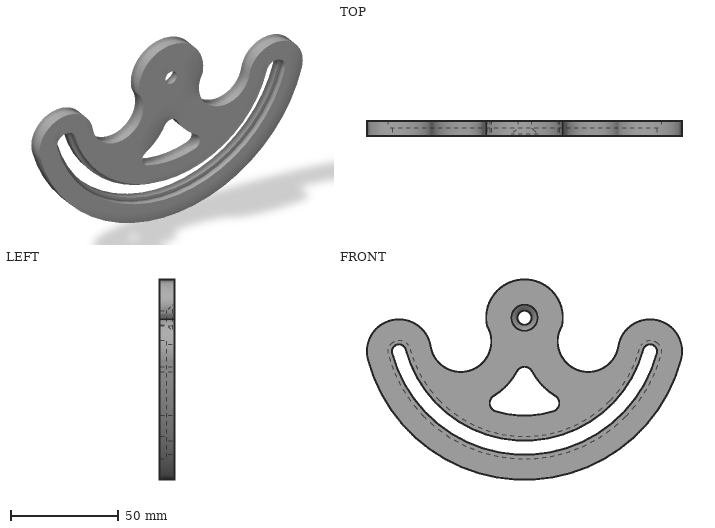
import cadquery as cq
import math

thickness = 7.0
hub_radius = 18.0
pivot_diameter = 6.5
countersink_diameter = 12.2
countersink_angle = 90
countersink_lip = 1.0

slot_width = 6.5
groove_width = 10.5
groove_depth = 3.1
slot_path_radius = 60.5
slot_end_angle = 15
lobe_radius = 15.0

bay_x = 29.7
bay_z = -11.0

window_side_radius = 29.7
window_bottom_radius = 45.5
window_corner_radius = 4.0

hub = (0, 0)
bay = (bay_x, bay_z)


def polar(radius, degrees):
    """Point at a given distance and direction from the hub axis."""
    angle = math.radians(degrees)
    return (radius * math.cos(angle), radius * math.sin(angle))


def toward(start, target, distance):
    """Point at a distance from start, in the direction of target."""
    ratio = distance / math.dist(start, target)
    return tuple(s + (t - s) * ratio for s, t in zip(start, target))


def mirrored(point):
    return (-point[0], point[1])


def circle_crossing(first, first_radius, second, second_radius, side):
    """Crossing of two circles; side +1 is left of the line first to second, -1 is right."""
    gap = math.dist(first, second)
    along = (gap**2 + first_radius**2 - second_radius**2) / (2 * gap)
    across = side * math.sqrt(first_radius**2 - along**2)
    ux = (second[0] - first[0]) / gap
    uz = (second[1] - first[1]) / gap
    return (first[0] + along * ux - across * uz, first[1] + along * uz + across * ux)


def make_plate():
    lobe = polar(slot_path_radius, -slot_end_angle)
    outer_radius = slot_path_radius + lobe_radius
    bay_radius = math.dist(bay, lobe) - lobe_radius

    neck = circle_crossing(hub, hub_radius, bay, bay_radius, 1)
    bay_bottom = (bay_x, bay_z - bay_radius)
    bay_end = toward(lobe, bay, lobe_radius)
    lobe_top = (lobe[0], lobe[1] + lobe_radius)
    rim_end = polar(outer_radius, -slot_end_angle)

    return (
        cq.Workplane("XZ")
        .moveTo(*mirrored(neck))
        .threePointArc((0, hub_radius), neck)
        .threePointArc(bay_bottom, bay_end)
        .threePointArc(lobe_top, rim_end)
        .threePointArc((0, -outer_radius), mirrored(rim_end))
        .threePointArc(mirrored(lobe_top), mirrored(bay_end))
        .threePointArc(mirrored(bay_bottom), mirrored(neck))
        .close()
        .extrude(thickness)
    )


def make_slot(width, depth):
    """Curved slot cutter reaching forward from the rear face."""
    half_width = width / 2
    inner_radius = slot_path_radius - half_width
    outer_radius = slot_path_radius + half_width
    end_centre = polar(slot_path_radius, -slot_end_angle)
    end_tip = (
        end_centre[0] + half_width * math.sin(math.radians(slot_end_angle)),
        end_centre[1] + half_width * math.cos(math.radians(slot_end_angle)),
    )
    inner_end = polar(inner_radius, -slot_end_angle)
    outer_end = polar(outer_radius, -slot_end_angle)

    return (
        cq.Workplane("XZ")
        .moveTo(*mirrored(inner_end))
        .threePointArc((0, -inner_radius), inner_end)
        .threePointArc(end_tip, outer_end)
        .threePointArc((0, -outer_radius), mirrored(outer_end))
        .threePointArc(mirrored(end_tip), mirrored(inner_end))
        .close()
        .extrude(depth)
    )


def make_window():
    corner_reach = window_side_radius + window_corner_radius
    top_centre = (0, bay_z - math.sqrt(corner_reach**2 - bay_x**2))
    corner_centre = circle_crossing(
        hub, window_bottom_radius - window_corner_radius, bay, corner_reach, -1
    )

    top = (0, top_centre[1] + window_corner_radius)
    side_start = toward(bay, top_centre, window_side_radius)
    side_end = toward(bay, corner_centre, window_side_radius)
    side_chord_middle = tuple((a + b) / 2 for a, b in zip(side_start, side_end))
    side_middle = toward(bay, side_chord_middle, window_side_radius)
    corner_tip = (corner_centre[0] + window_corner_radius, corner_centre[1])
    bottom_end = toward(hub, corner_centre, window_bottom_radius)

    return (
        cq.Workplane("XZ")
        .moveTo(*mirrored(side_start))
        .threePointArc(top, side_start)
        .threePointArc(side_middle, side_end)
        .threePointArc(corner_tip, bottom_end)
        .threePointArc((0, -window_bottom_radius), mirrored(bottom_end))
        .threePointArc(mirrored(corner_tip), mirrored(side_end))
        .threePointArc(mirrored(side_middle), mirrored(side_start))
        .close()
        .extrude(thickness)
    )


def make_pivot_hole():
    """Through hole with a countersink and a short straight lip on the front (-Y) face."""
    pivot_radius = pivot_diameter / 2
    sink_radius = countersink_diameter / 2
    cone_depth = (sink_radius - pivot_radius) / math.tan(math.radians(countersink_angle / 2))
    lip_end = countersink_lip - thickness
    cone_end = lip_end + cone_depth

    return (
        cq.Workplane("XY")
        .moveTo(0, -thickness)
        .lineTo(sink_radius, -thickness)
        .lineTo(sink_radius, lip_end)
        .lineTo(pivot_radius, cone_end)
        .lineTo(pivot_radius, 0)
        .lineTo(0, 0)
        .close()
        .revolve(360, (0, 0), (0, 1))
    )


result = (
    make_plate()
    .cut(make_slot(slot_width, thickness))
    .cut(make_slot(groove_width, groove_depth))
    .cut(make_window())
    .cut(make_pivot_hole())
)